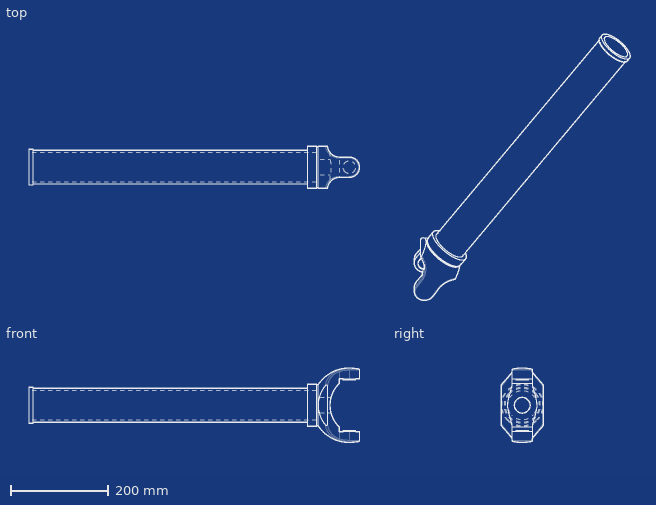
import cadquery as cq
import math

total_length = 679.0
end_band_length = 9.0
collar_start = 572.0
collar_end = 591.0
shoulder_end = 593.5

band_diameter = 74.0
tube_diameter = 70.0
bore_diameter = 60.0
collar_diameter = 87.0
shoulder_diameter = 85.0
yoke_hole_diameter = 32.0

yoke_height = 154.0
ball_radius = yoke_height / 2
tip_radius = 21.0
pin_x = total_length - tip_radius
hub_half_width = collar_diameter / 2
hub_side_end = 613.0
arm_start = 637.5
edge_round = 3.0

throat_x = 618.5
throat_radius = 62.5
arm_inner_z = 54.0
pad_diameter = 26.0
pad_height = 3.0


def rod(start, end, diameter):
    return cq.Workplane("YZ", origin=(start, 0, 0)).circle(diameter / 2).extrude(end - start)


def yoke_blank():
    """Ball segment with flat hub sides, waisted shoulders and round-ended arms."""
    run = arm_start - hub_side_end
    drop = hub_half_width - tip_radius
    waist_radius = (run**2 + drop**2) / (2 * drop)
    waist_angle = math.asin(run / waist_radius) / 2
    mid_x = arm_start - waist_radius * math.sin(waist_angle)
    mid_y = tip_radius + waist_radius * (1 - math.cos(waist_angle))
    plan_half_height = ball_radius + 7
    plan = (
        cq.Workplane("XY", origin=(0, 0, -plan_half_height))
        .moveTo(shoulder_end, -hub_half_width)
        .lineTo(hub_side_end, -hub_half_width)
        .threePointArc((mid_x, -mid_y), (arm_start, -tip_radius))
        .lineTo(pin_x, -tip_radius)
        .threePointArc((total_length, 0), (pin_x, tip_radius))
        .lineTo(arm_start, tip_radius)
        .threePointArc((mid_x, mid_y), (hub_side_end, hub_half_width))
        .lineTo(shoulder_end, hub_half_width)
        .close()
        .extrude(2 * plan_half_height)
    )
    ball = (
        cq.Workplane("XY", origin=(pin_x, 0, 0))
        .moveTo(0, -ball_radius)
        .threePointArc((ball_radius, 0), (0, ball_radius))
        .close()
        .revolve(360, (0, 0, 0), (0, 1, 0))
    )
    return plan.intersect(ball)


def round_outer_edges(body):
    """Soften the ball edge along the waists, arm sides and tips of both arms."""
    rim_start = hub_side_end - edge_round
    rim_height = math.sqrt(ball_radius**2 - (pin_x - hub_side_end) ** 2 - hub_half_width**2)
    upper = cq.selectors.BoxSelector(
        (rim_start, -hub_half_width, rim_height), (total_length, hub_half_width, ball_radius)
    )
    lower = cq.selectors.BoxSelector(
        (rim_start, -hub_half_width, -ball_radius), (total_length, hub_half_width, -rim_height)
    )
    return body.edges(upper + lower).fillet(edge_round)


def arm_opening():
    """Rounded throat joined to the straight gap between the arms."""
    throat = (
        cq.Workplane("XZ", origin=(throat_x + throat_radius, 0, 0))
        .circle(throat_radius)
        .extrude(hub_half_width, both=True)
    )
    throat_end = arm_start - throat_x
    half_chord = math.sqrt(throat_radius**2 - (throat_radius - throat_end) ** 2)
    clearance = cq.Workplane("XY").box(
        throat_end, 2 * hub_half_width, 2 * half_chord
    ).translate((throat_x + throat_end / 2, 0, 0))
    gap = cq.Workplane("XY").box(
        total_length - arm_start, 2 * hub_half_width, 2 * arm_inner_z
    ).translate(((total_length + arm_start) / 2, 0, 0))
    return throat.intersect(clearance).union(gap)


def pad(side):
    """Round pad on the inner face of one arm."""
    return (
        cq.Workplane("XY", origin=(pin_x, 0, side * arm_inner_z))
        .circle(pad_diameter / 2)
        .extrude(-side * pad_height)
    )


yoke = round_outer_edges(yoke_blank()).cut(arm_opening())
for side in (-1, 1):
    yoke = yoke.union(pad(side))

shaft = (
    rod(0, end_band_length, band_diameter)
    .union(rod(0, collar_start, tube_diameter))
    .union(rod(collar_start, collar_end, collar_diameter))
    .union(rod(collar_end, shoulder_end, shoulder_diameter))
)

result = (
    shaft.union(yoke)
    .cut(rod(0, collar_end, bore_diameter))
    .cut(rod(collar_end, arm_start, yoke_hole_diameter))
)